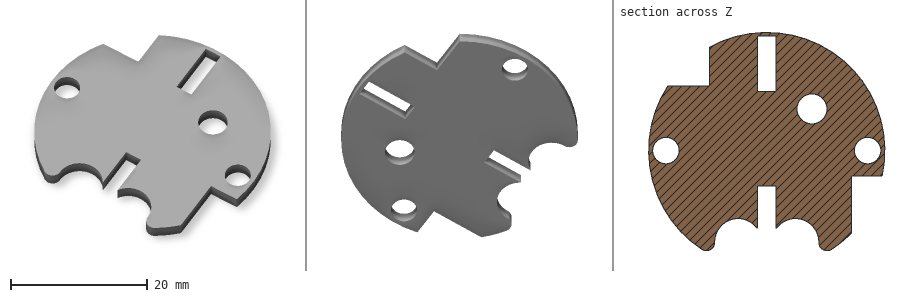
import cadquery as cq

disc_radius = 17.35
thickness = 2.0

upper_notch_corner = (-8.42, 9.5)
lower_notch_corner = (12.48, -3.75)

slot_width = 2.55
upper_slot_bottom = 8.67
upper_slot_top = 16.7
lower_slot_top = -5.2

side_hole_diameter = 3.8
side_hole_offset = 14.77
offset_hole_diameter = 4.35
offset_hole_center = (6.62, 6.1)

scallop_radius = 3.4
scallop_offset = 4.2
scallop_center_y = -13.38
lobe_radius = 1.25


def block(x_min, x_max, y_min, y_max):
    """Full-thickness rectangular cutter between the given limits."""
    return cq.Workplane("XY").box(
        x_max - x_min, y_max - y_min, thickness, centered=False
    ).translate((x_min, y_min, 0))


def cylinder(radius, x, y):
    """Full-thickness round cutter."""
    return cq.Workplane("XY").center(x, y).circle(radius).extrude(thickness)


def cut_scallops(plate):
    """Cut both scallops and round the outer lobes where they meet the rim."""
    for side in (-1, 1):
        plate = plate.cut(cylinder(scallop_radius, side * scallop_offset, scallop_center_y))
    for side in (-1, 1):
        near_lobe_tip = (side * (scallop_offset + scallop_radius), -disc_radius, thickness / 2)
        lobe_tip = cq.selectors.NearestToPointSelector(near_lobe_tip)
        plate = plate.edges("|Z").edges(lobe_tip).fillet(lobe_radius)
    clearance = scallop_offset + scallop_radius / 2
    return plate.cut(block(-clearance, clearance, -disc_radius, scallop_center_y))


def cut_slots(plate):
    """Cut the closed upper slot and the lower slot that opens through the rim."""
    half_width = slot_width / 2
    plate = plate.cut(block(-half_width, half_width, upper_slot_bottom, upper_slot_top))
    return plate.cut(block(-half_width, half_width, -disc_radius, lower_slot_top))


def cut_notches(plate):
    """Cut the upper left and lower right notches out to the rim."""
    upper_x, upper_y = upper_notch_corner
    lower_x, lower_y = lower_notch_corner
    plate = plate.cut(block(-disc_radius, upper_x, upper_y, disc_radius))
    return plate.cut(block(lower_x, disc_radius, -disc_radius, lower_y))


def cut_holes(plate):
    """Drill the two side holes and the larger offset hole."""
    for side in (-1, 1):
        plate = plate.cut(cylinder(side_hole_diameter / 2, side * side_hole_offset, 0))
    return plate.cut(cylinder(offset_hole_diameter / 2, *offset_hole_center))


plate = cylinder(disc_radius, 0, 0)
plate = cut_slots(plate)
plate = cut_scallops(plate)
plate = cut_notches(plate)
result = cut_holes(plate)